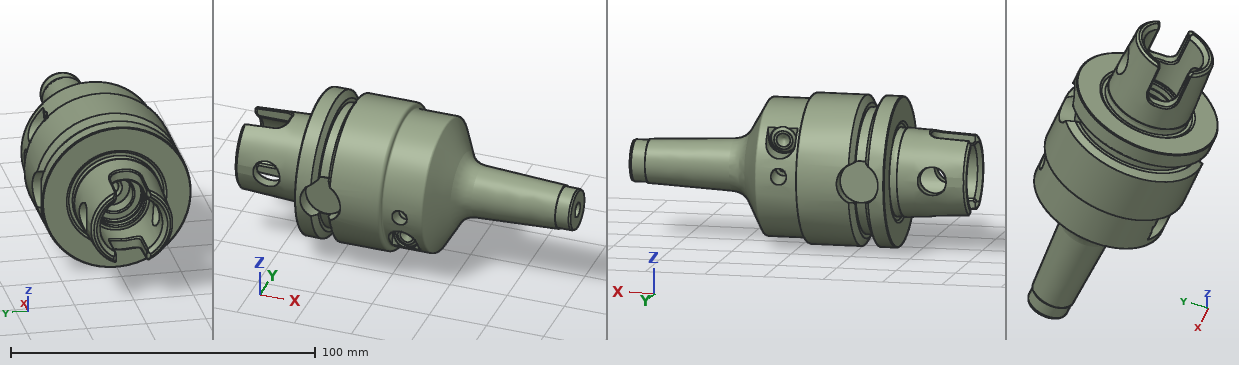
import math

import cadquery as cq


shank_length = 25.0
taper_slope = 0.05
taper_start = -2.0
taper_radius = 14.8
neck_radius = 14.6
neck_end = -0.7
shank_end_chamfer = 0.8

relief_outer_radius = 16.8
relief_floor_radius = 16.0
relief_depth = 0.5

flange_radius = 25.0
face_chamfer = 0.3
groove_start = 5.5
groove_end = 12.1
groove_floor_radius = 21.0
groove_wall_radius = 22.4
groove_chamfer_angle = 60.0
shoulder_x = 29.9
shoulder_fillet = 1.1
body_radius = 23.0
body_root_fillet = 0.5
body_front_fillet = 0.8

cone_start = 43.85
cone_angle = 60.0
nose_radius = 7.35
nose_taper_end = 84.7
nose_taper_angle = 2.76
nose_blend_radius = 7.4
tip_radius = 7.0
tip_chamfer = 0.7
tip_chamfer_inset = 0.3
nose_end = 90.0

bore_diameter = 21.0
bore_end = -2.5
seat_diameter = 18.0
seat_end = 0.0
seat_chamfer = 0.5
step_diameter = 17.2
step_end = 2.0
counterbore_diameter = 12.0
counterbore_end = 8.0
counterbore_chamfer = 0.5
through_diameter = 5.0
through_mouth_diameter = 7.0
through_mouth_depth = 1.0
mouth_diameter = 23.8
mouth_depth = 1.5

slot_width = 10.3
slot_end = -10.7
slot_corner_radius = 3.5
slot_edge_chamfer = 0.5
slot_mouth_chamfer = 1.1
cross_hole_diameter = 9.5
cross_hole_x = -13.7
flat_width = 3.2

gripper_hole_diameter = 14.0
gripper_hole_x = 9.0
gripper_floor = 19.5

screw_x = 36.0
pocket_width = 9.9
pocket_tilt = 6.0
pocket_floor_y = -15.85
pocket_floor_z = -12.6
pocket_reach = 12.0
screw_offset = 0.5
screw_diameter = 9.0
screw_top_diameter = 6.3
screw_recess = 1.6
socket_diameter = 4.62
socket_cone_depth = 1.4
set_hole_diameter = 5.2
set_hole_z = -1.1
set_hole_tilt = 13.0
set_hole_depth = 7.0
set_socket_diameter = 2.31
set_socket_cone_depth = 1.0


def revolve_profile(points):
    """Turn a closed (x, radius) outline about the X axis."""
    return cq.Workplane("XY").polyline(points).close().revolve(360, (0, 0, 0), (1, 0, 0))


def make_cone(plane, base_offset, bottom_diameter, top_diameter, height):
    """Cone along the plane normal; a bottom diameter of zero gives a point."""
    cone = cq.Solid.makeCone(bottom_diameter / 2, top_diameter / 2, height)
    cone = cone.translate(cq.Vector(0, 0, base_offset)).moved(cq.Location(plane))
    return cq.Workplane(cone)


def circle_at(x, radius):
    """Selector for edges at one X position that lie within the given radius."""
    margin = 0.01
    reach = radius + margin
    return cq.selectors.BoxSelector(
        (x - margin, -reach, -reach),
        (x + margin, reach, reach),
        boundingbox=True,
    )


def make_outside():
    shank_end_radius = taper_radius - taper_slope * (shank_length + taper_start)
    groove_chamfer = (flange_radius - groove_wall_radius) / math.tan(math.radians(groove_chamfer_angle))

    cone_slope = math.tan(math.radians(cone_angle))
    nose_slope = math.tan(math.radians(nose_taper_angle))
    nose_radius_at_cone_start = nose_radius + nose_slope * (nose_taper_end - cone_start)
    cone_end = cone_start + (body_radius - nose_radius_at_cone_start) / (cone_slope - nose_slope)
    cone_end_radius = body_radius - cone_slope * (cone_end - cone_start)

    outside = revolve_profile([
        (-shank_length, 0),
        (-shank_length, shank_end_radius - shank_end_chamfer),
        (-shank_length + shank_end_chamfer, shank_end_radius + taper_slope * shank_end_chamfer),
        (taper_start, taper_radius),
        (taper_start, neck_radius),
        (neck_end, neck_radius),
        (relief_depth, taper_radius),
        (relief_depth, relief_floor_radius),
        (0, relief_outer_radius),
        (0, flange_radius - face_chamfer),
        (face_chamfer, flange_radius),
        (groove_start, flange_radius),
        (groove_start + groove_chamfer, groove_wall_radius),
        (groove_start + groove_chamfer, groove_floor_radius),
        (groove_end - groove_chamfer, groove_floor_radius),
        (groove_end - groove_chamfer, groove_wall_radius),
        (groove_end, flange_radius),
        (shoulder_x, flange_radius),
        (shoulder_x, body_radius),
        (cone_start, body_radius),
        (cone_end, cone_end_radius),
        (nose_taper_end, nose_radius),
        (nose_taper_end, tip_radius),
        (nose_end - tip_chamfer, tip_radius),
        (nose_end, tip_radius - tip_chamfer_inset),
        (nose_end, 0),
    ])

    outside = outside.edges(circle_at(cone_end, cone_end_radius)).fillet(nose_blend_radius)
    shoulder_rim = circle_at(shoulder_x, flange_radius) - circle_at(shoulder_x, body_radius)
    outside = outside.edges(shoulder_rim).fillet(shoulder_fillet)
    outside = outside.edges(circle_at(shoulder_x, body_radius)).fillet(body_root_fillet)
    return outside.edges(circle_at(cone_start, body_radius)).fillet(body_front_fillet)


def make_bores():
    return revolve_profile([
        (-shank_length, 0),
        (-shank_length, mouth_diameter / 2),
        (-shank_length + mouth_depth, bore_diameter / 2),
        (bore_end, bore_diameter / 2),
        (bore_end, seat_diameter / 2 + seat_chamfer),
        (bore_end + seat_chamfer, seat_diameter / 2),
        (seat_end, seat_diameter / 2),
        (seat_end, step_diameter / 2),
        (step_end, step_diameter / 2),
        (step_end, counterbore_diameter / 2 + counterbore_chamfer),
        (step_end + counterbore_chamfer, counterbore_diameter / 2),
        (counterbore_end, counterbore_diameter / 2),
        (counterbore_end, through_mouth_diameter / 2),
        (counterbore_end + through_mouth_depth, through_diameter / 2),
        (nose_end, through_diameter / 2),
        (nose_end, 0),
    ])


def make_drive_slot():
    """Slot open at the shank end, crossing both walls along Z."""
    return (
        cq.Workplane("XY")
        .rect(2 * (shank_length + slot_end), slot_width)
        .extrude(2 * taper_radius, both=True)
        .edges("|Z and >X")
        .fillet(slot_corner_radius)
        .translate((-shank_length, 0, 0))
    )


def make_slot_mouth():
    """Flare that bevels the mouth corners of the drive slots."""
    inner_half = slot_width / 2
    outer_half = inner_half + slot_mouth_chamfer
    inner_x = -shank_length + slot_mouth_chamfer
    return (
        cq.Workplane("XY")
        .polyline([
            (-shank_length, -outer_half),
            (inner_x, -inner_half),
            (inner_x, inner_half),
            (-shank_length, outer_half),
        ])
        .close()
        .extrude(2 * taper_radius, both=True)
    )


def chamfer_slot_edges(body):
    """Break the long edges of both drive slots, outside and inside the shank wall."""
    margin = 0.1
    half_width = slot_width / 2 + margin
    mid_wall = bore_diameter / 2 + slot_edge_chamfer
    inside_bore = math.sqrt((bore_diameter / 2) ** 2 - half_width ** 2) - margin
    wall_bands = ((mid_wall, taper_radius), (inside_bore, mid_wall))
    for low, high in wall_bands:
        for side in (-1, 1):
            slot_box = cq.selectors.BoxSelector(
                (-shank_length - margin, -half_width, side * low),
                (slot_end + margin, half_width, side * high),
            )
            slot_edges = body.edges(slot_box).edges("not(|Z or <X)")
            body = slot_edges.chamfer(slot_edge_chamfer)
    return body


def make_shank_flat():
    """Flat that follows the taper on the -Y side, from the cross hole to the shank end."""
    depth = 1.0
    tilt = math.degrees(math.atan(taper_slope))
    radius_at_hole = taper_radius - taper_slope * (taper_start - cross_hole_x)
    flat_distance = math.sqrt(radius_at_hole ** 2 - (flat_width / 2) ** 2)
    return (
        cq.Workplane("XY")
        .box(2 * shank_length, depth, flat_width)
        .translate((-shank_length, -depth / 2, 0))
        .rotate((0, 0, 0), (0, 0, 1), -tilt)
        .translate((cross_hole_x, -flat_distance, 0))
    )


def make_gripper_hole():
    return (
        cq.Workplane("XZ", origin=(gripper_hole_x, -gripper_floor, 0))
        .circle(gripper_hole_diameter / 2)
        .extrude(flange_radius)
    )


def tilted_plane(y, z, tilt):
    """Plane facing -Y, leaning towards +Z by the tilt angle."""
    angle = math.radians(tilt)
    return cq.Plane(
        origin=(screw_x, y, z),
        xDir=(1, 0, 0),
        normal=(0, -math.cos(angle), math.sin(angle)),
    )


def make_screw_pocket():
    """U-shaped pocket open downwards, with a conical screw head sunk in its floor."""
    floor = tilted_plane(pocket_floor_y, pocket_floor_z, pocket_tilt)
    pocket = cq.Workplane(floor).circle(pocket_width / 2).extrude(pocket_reach)
    opening = (
        cq.Workplane(floor)
        .center(0, -pocket_reach / 2)
        .rect(pocket_width, pocket_reach)
        .extrude(pocket_reach)
    )
    screw_seat = cq.Plane(
        origin=floor.toWorldCoords((0, screw_offset, 0)),
        xDir=floor.xDir,
        normal=floor.zDir,
    )
    screw_ring = cq.Workplane(screw_seat).circle(screw_diameter / 2).extrude(-screw_recess)
    head = make_cone(screw_seat, -screw_recess, screw_diameter, screw_top_diameter, screw_recess)
    socket = make_cone(screw_seat, -socket_cone_depth, 0, socket_diameter, socket_cone_depth)
    return pocket.union(opening).union(screw_ring.cut(head)).union(socket)


def make_set_screw_hole():
    """Leaning blind hole with a conical socket in its floor."""
    mouth_y = -math.sqrt(body_radius ** 2 - set_hole_z ** 2)
    mouth = tilted_plane(mouth_y, set_hole_z, set_hole_tilt)
    hole = (
        cq.Workplane(mouth)
        .workplane(offset=-set_hole_depth)
        .circle(set_hole_diameter / 2)
        .extrude(2 * set_hole_depth)
    )
    socket_tip = -set_hole_depth - set_socket_cone_depth
    socket = make_cone(mouth, socket_tip, 0, set_socket_diameter, set_socket_cone_depth)
    return hole.union(socket)


def cut_both_sides(body, cutter):
    """Cut on the -Y side and again half a turn about the X axis."""
    return body.cut(cutter).cut(cutter.rotate((0, 0, 0), (1, 0, 0), 180))


def make_part():
    body = make_outside().cut(make_bores())
    body = body.cut(make_drive_slot())
    body = chamfer_slot_edges(body).cut(make_slot_mouth())
    cross_hole = cq.Workplane("XZ").center(cross_hole_x, 0).circle(cross_hole_diameter / 2)
    body = body.cut(cross_hole.extrude(2 * taper_radius, both=True))
    for cutter in (make_shank_flat(), make_gripper_hole(), make_screw_pocket(), make_set_screw_hole()):
        body = cut_both_sides(body, cutter)
    return body


result = make_part()